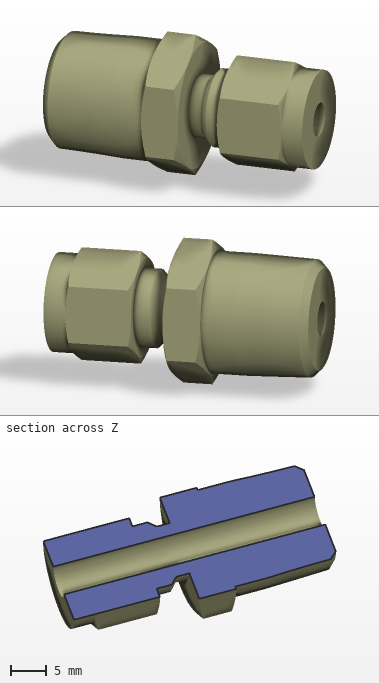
import cadquery as cq
import math

length = 38.4
lead_chamfer_end = 1.08
taper_end = 10.35
body_hex_start = 15.15
body_hex_end = 20.65
neck_end = 22.5
cone_end = 23.55
nut_start = 25.73
nut_end = 35.3

face_radius = 7.2
taper_small_radius = 8.3
shank_radius = 8.6
neck_radius = 4.5
collar_radius = 5.55
bore_radius = 2.4

body_hex_flats = 18.0
body_chamfer_radius = 8.95
body_chamfer_front = 0.7
body_chamfer_back = 0.6
nut_flats = 14.0
nut_chamfer_radius = nut_flats / 2
nut_chamfer_front = 0.45
nut_chamfer_back = 0.5


def revolve_profile(points):
    """Revolve a closed (x, radius) outline about the X axis."""
    return cq.Workplane("XZ").polyline(points).close().revolve(360, (0, 0, 0), (1, 0, 0))


def cylinder(start, end, radius):
    """Round section along X between two positions."""
    return revolve_profile([(start, 0), (start, radius), (end, radius), (end, 0)])


def chamfered_hexagon(start, end, flats, chamfer_radius, front_chamfer, back_chamfer):
    """Hexagonal prism along X, corners up and down, with conically turned ends."""
    corner_radius = flats / math.sqrt(3)
    prism = (
        cq.Workplane("YZ", origin=(start, 0, 0))
        .polygon(6, 2 * corner_radius)
        .extrude(end - start)
        .rotate((0, 0, 0), (1, 0, 0), 90)
    )
    turned_blank = revolve_profile([
        (start, 0),
        (start, chamfer_radius),
        (start + front_chamfer, corner_radius),
        (end - back_chamfer, corner_radius),
        (end, chamfer_radius),
        (end, 0),
    ])
    return prism.intersect(turned_blank)


turned_body = revolve_profile([
    (0, 0),
    (0, face_radius),
    (lead_chamfer_end, taper_small_radius),
    (taper_end, shank_radius),
    (body_hex_start, shank_radius),
    (body_hex_start, neck_radius),
    (neck_end, neck_radius),
    (cone_end, collar_radius),
    (nut_start, collar_radius),
    (nut_start, 0),
])

body_hex = chamfered_hexagon(
    body_hex_start, body_hex_end, body_hex_flats,
    body_chamfer_radius, body_chamfer_front, body_chamfer_back,
)

nut = chamfered_hexagon(
    nut_start, nut_end, nut_flats,
    nut_chamfer_radius, nut_chamfer_front, nut_chamfer_back,
)

nut_rim = cylinder(nut_end, length, nut_flats / 2)

bore = cylinder(0, length, bore_radius)

result = turned_body.union(body_hex).union(nut).union(nut_rim).cut(bore)